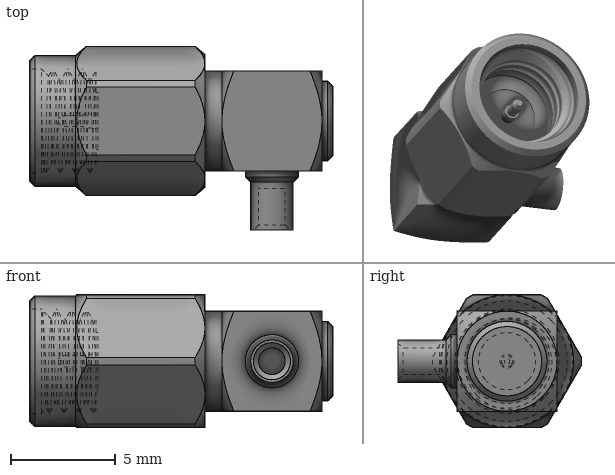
import cadquery as cq
import math


collar_diameter = 6.25
collar_edge_chamfer = 0.25
nut_across_flats = 6.35
nut_corner_diameter = 7.13
nut_chamfer_angle = 50.0
hex_start = 2.19
hex_end = 8.37

mouth_diameter = 4.98
mouth_depth = 0.56
thread_pitch = 25.4 / 36
thread_depth = 0.475
thread_flank_angle = 30.0
thread_turns = 5
thread_run_in = 0.15
socket_depth = 3.16

dielectric_diameter = 2.73
dielectric_recess = 0.1
pin_base_diameter = 0.66
pin_diameter = 0.53
pin_tip_diameter = 0.26
pin_tip_start = 1.38
pin_taper_length = 0.25
pin_base_length = 0.6

block_size = 4.78
block_start = 9.18
block_chamfer_angle = 30.0

cap_diameter = 3.81
cap_end = 14.48
cap_chamfer = 0.25

flange_diameter = 2.54
flange_length = 0.28
ferrule_diameter = 2.03
ferrule_bore_diameter = 1.27
ferrule_mouth_diameter = 1.77
ferrule_bore_depth = 2.0
overall_width = 8.78

block_end = block_start + block_size
block_center = block_start + block_size / 2
ferrule_end = overall_width - nut_corner_diameter / 2
insert_diameter = (mouth_diameter + collar_diameter) / 2
dielectric_depth = socket_depth + dielectric_recess
minor_radius = mouth_diameter / 2 - thread_depth


def turned(points):
    """Revolve a closed outline of (x, radius) points about the X axis."""
    outline = cq.Workplane("XY").polyline(points).close()
    return outline.revolve(360, (0, 0, 0), (1, 0, 0))


def rod(start, end, diameter):
    """Cylinder along the X axis."""
    return cq.Workplane("YZ").workplane(offset=start).circle(diameter / 2).extrude(end - start)


def chamfered_envelope(start, end, start_radius, corner_radius, end_radius, angle):
    """Turned blank whose conical ends trim the corners of a prism."""
    slope = math.tan(math.radians(angle))
    return turned([
        (start, 0),
        (start, start_radius),
        (start + (corner_radius - start_radius) * slope, corner_radius),
        (end - (corner_radius - end_radius) * slope, corner_radius),
        (end, end_radius),
        (end, 0),
    ])


def make_nut():
    collar = rod(0, hex_start, collar_diameter).faces("<X").chamfer(collar_edge_chamfer)
    across_corners = nut_across_flats / math.cos(math.pi / 6)
    prism = (
        cq.Workplane("YZ")
        .workplane(offset=hex_start)
        .polygon(6, across_corners)
        .extrude(hex_end - hex_start)
    )
    envelope = chamfered_envelope(
        hex_start,
        hex_end,
        collar_diameter / 2,
        nut_corner_diameter / 2,
        nut_across_flats / 2,
        nut_chamfer_angle,
    )
    return collar.union(prism.intersect(envelope))


def make_block():
    prism = cq.Workplane("XY").box(block_size, block_size, block_size)
    prism = prism.translate((block_center, 0, 0))
    half_size = block_size / 2
    envelope = chamfered_envelope(
        block_start, block_end, half_size, half_size * math.sqrt(2), half_size, block_chamfer_angle
    )
    neck = rod(hex_end, block_start, block_size)
    cap = rod(block_end, cap_end, cap_diameter).faces(">X").chamfer(cap_chamfer)
    return neck.union(prism.intersect(envelope)).union(cap)


def make_socket():
    """Plain mouth, 45 degree lead-in and through bore at the thread's minor diameter."""
    profile = [
        (0, 0),
        (0, mouth_diameter / 2),
        (mouth_depth, mouth_diameter / 2),
        (mouth_depth + thread_depth, minor_radius),
        (hex_end, minor_radius),
        (hex_end, 0),
    ]
    return turned(profile).rotate((0, 0, 0), (1, 0, 0), 180)


def make_thread_groove():
    """Right-handed V groove, starting in the mouth at the +Y side."""
    root_radius = mouth_diameter / 2
    overlap = 0.1
    half_width = (thread_depth + overlap) * math.tan(math.radians(thread_flank_angle))
    inner_radius = minor_radius - overlap
    helix = cq.Wire.makeHelix(thread_pitch, thread_pitch * thread_turns, root_radius)
    groove = (
        cq.Workplane("XZ")
        .moveTo(root_radius, 0)
        .lineTo(inner_radius, half_width)
        .lineTo(inner_radius, -half_width)
        .close()
        .sweep(cq.Workplane(obj=helix), isFrenet=True)
    )
    axial_groove = groove.rotate((0, 0, 0), (1, 1, 1), 120)
    return axial_groove.translate((mouth_depth - thread_run_in, 0, 0))


def make_insert():
    """Plug that closes the nut behind the socket, recessed for the dielectric."""
    plug = rod(socket_depth, hex_end, insert_diameter)
    return plug.cut(rod(socket_depth, dielectric_depth, dielectric_diameter)).union(make_pin())


def make_pin():
    return turned([
        (pin_tip_start, 0),
        (pin_tip_start, pin_tip_diameter / 2),
        (pin_tip_start + pin_taper_length, pin_diameter / 2),
        (socket_depth - pin_base_length, pin_diameter / 2),
        (socket_depth - pin_base_length, pin_base_diameter / 2),
        (dielectric_depth, pin_base_diameter / 2),
        (dielectric_depth, 0),
    ])


def make_ferrule():
    """Flanged tube whose profile of (radius, y) points is turned about a Y axis through the block."""
    flange_radius = flange_diameter / 2
    tube_radius = ferrule_diameter / 2
    bore_radius = ferrule_bore_diameter / 2
    mouth_radius = ferrule_mouth_diameter / 2
    block_face = block_size / 2
    flange_face = block_face + flange_length
    bore_floor = ferrule_end - ferrule_bore_depth
    outline = cq.Workplane("XY").polyline([
        (0, -block_face),
        (flange_radius, -block_face),
        (flange_radius, -flange_face),
        (tube_radius, -flange_face - (flange_radius - tube_radius)),
        (tube_radius, -ferrule_end),
        (mouth_radius, -ferrule_end),
        (bore_radius, -ferrule_end + (mouth_radius - bore_radius)),
        (bore_radius, -bore_floor),
        (0, -bore_floor),
    ]).close()
    ferrule = outline.revolve(360, (0, 0, 0), (0, 1, 0))
    return ferrule.translate((block_center, 0, 0))


threaded_nut = make_nut().cut(make_socket()).cut(make_thread_groove())
result = threaded_nut.union(make_insert()).union(make_block()).union(make_ferrule())